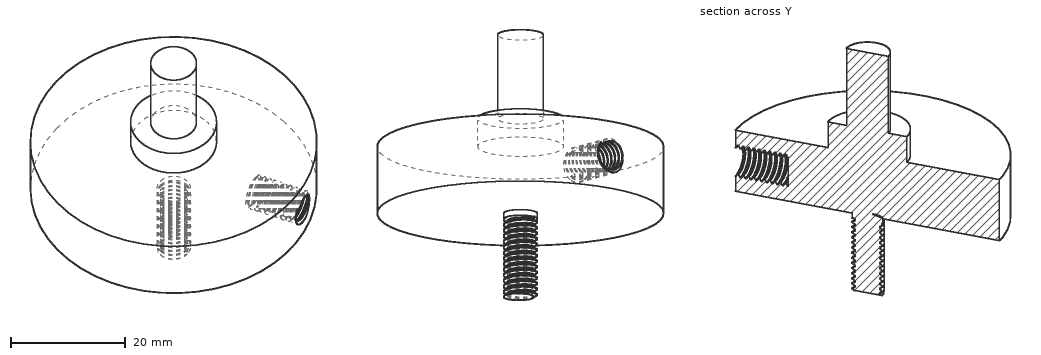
import cadquery as cq
import math

disc_diameter = 50
disc_height = 12
collar_diameter = 15
collar_height = 5
shaft_diameter = 8
shaft_height = 15

pitch = 1
crest_width = pitch / 8
flank_angle = math.radians(30)
embed = 0.05

stud_diameter = 5.9
stud_root_diameter = 4.75
stud_length = 15
neck_length = 1
stud_thread_length = stud_length - neck_length
stud_crest_offset = 0.3

hole_minor_diameter = 5.05
hole_major_diameter = 6.15
hole_depth = 10


def cylinder(diameter, bottom, height):
    return cq.Workplane("XY").workplane(offset=bottom).circle(diameter / 2).extrude(height)


def thread_ridge(base_diameter, crest_diameter, bottom, length, crest_offset):
    """Right-handed ridge about Z, cut flat at both ends; a crest at +X is crest_offset above bottom."""
    start = bottom + crest_offset - pitch
    crest_radius = crest_diameter / 2
    base_radius = base_diameter / 2 - embed
    half_crest = crest_width / 2
    half_base = half_crest + (crest_radius - base_radius) * math.tan(flank_angle)
    turns = math.ceil(length / pitch) + 2
    helix = cq.Wire.makeHelix(pitch, turns * pitch, base_radius, center=cq.Vector(0, 0, start))
    profile = cq.Workplane("XZ").polyline([
        (base_radius, start - half_base),
        (crest_radius, start - half_crest),
        (crest_radius, start + half_crest),
        (base_radius, start + half_base),
    ]).close()
    ridge = profile.sweep(cq.Workplane(obj=helix), isFrenet=True)
    return ridge.intersect(cylinder(crest_diameter + pitch, bottom, length))


def threaded_stud():
    neck = cylinder(stud_diameter, -neck_length, neck_length)
    core = cylinder(stud_root_diameter, -stud_length, stud_thread_length)
    ridge = thread_ridge(
        stud_root_diameter, stud_diameter, -stud_length, stud_thread_length, stud_crest_offset
    )
    return core.union(ridge).union(neck)


def tapped_hole_cutter():
    """Hole and thread groove built about Z, then turned to lie along +X at half the disc height."""
    bottom = disc_diameter / 2 - hole_depth
    bore = cylinder(hole_minor_diameter, bottom, hole_depth)
    groove = thread_ridge(hole_minor_diameter, hole_major_diameter, bottom, hole_depth, 0)
    cutter = bore.union(groove)
    return cutter.rotate((0, 0, 0), (0, 1, 0), 90).translate((0, 0, disc_height / 2))


disc = cylinder(disc_diameter, 0, disc_height).cut(tapped_hole_cutter())
collar = cylinder(collar_diameter, disc_height, collar_height)
shaft = cylinder(shaft_diameter, disc_height + collar_height, shaft_height)

result = disc.union(collar).union(shaft).union(threaded_stud())